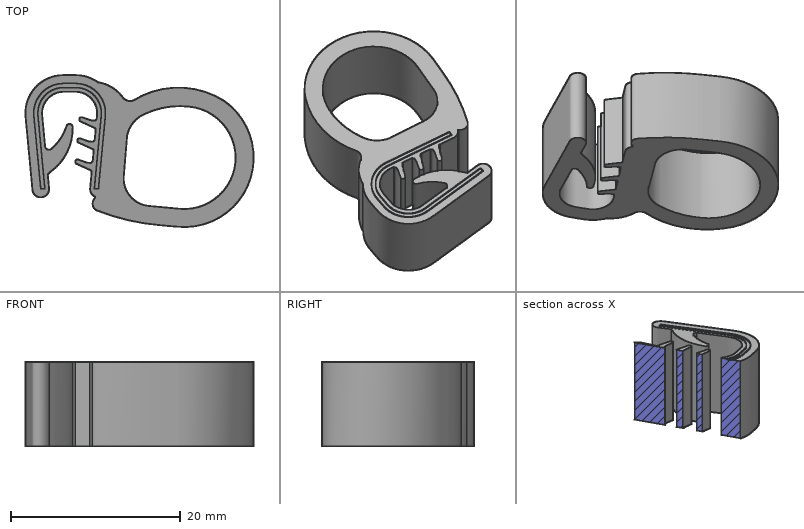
import cadquery as cq
import math

length_x = 27.0
length_z = 10.0

clip_center_x = 5.25
clip_arc_y = 13.47
half_flat = 0.73
leg_lean = 5.4
leg_length = 8.67
clip_outer_radius = 4.5
clip_wall = 2.0
clip_inner_radius = clip_outer_radius - clip_wall

channel_wall_outside = 1.0
channel_width = 0.49
channel_outer_radius = clip_outer_radius - channel_wall_outside
channel_inner_radius = channel_outer_radius - channel_width
channel_depth = 0.1

bulb_radius = 8.2
bulb_wall = 2.15
bulb_x = length_x - bulb_radius
bulb_y = bulb_radius
bulb_arc_end = 55.0
hole_arc_end = 84.0

fin_count = 3
fin_pitch = 2.5

lean = math.radians(leg_lean)


def leg_top(radius, side):
    """Point where a bridge arc meets a leg; side is -1 for left, 1 for right."""
    x = clip_center_x + side * (half_flat + radius * math.cos(lean))
    return x, clip_arc_y - radius * math.sin(lean)


def leg_end(radius, side):
    x, y = leg_top(radius, side)
    return x - side * leg_length * math.sin(lean), y - leg_length * math.cos(lean)


def bridge_end(radius, side):
    return clip_center_x + side * half_flat, clip_arc_y + radius


def bridge_mid(radius, side):
    """Middle of the arc between leg and bridge."""
    angle = math.radians((90 - leg_lean) / 2)
    x = clip_center_x + side * (half_flat + radius * math.cos(angle))
    return x, clip_arc_y + radius * math.sin(angle)


def round_leg_bottom(side):
    """Tip of the rounded end of a leg."""
    x, y = leg_end(clip_outer_radius - clip_wall / 2, side)
    return x - side * clip_wall / 2 * math.sin(lean), y - clip_wall / 2 * math.cos(lean)


def clip_band(outer_radius, inner_radius, rounded):
    """Closed U outline between two radii, with round or square leg ends."""
    band = cq.Workplane("XY").moveTo(*leg_end(outer_radius, -1))
    for radius, side in ((outer_radius, -1), (inner_radius, 1)):
        band = (
            band.lineTo(*leg_top(radius, side))
            .threePointArc(bridge_mid(radius, side), bridge_end(radius, side))
            .lineTo(*bridge_end(radius, -side))
            .threePointArc(bridge_mid(radius, -side), leg_top(radius, -side))
            .lineTo(*leg_end(radius, -side))
        )
        next_radius = inner_radius if side < 0 else outer_radius
        if rounded:
            band = band.threePointArc(round_leg_bottom(-side), leg_end(next_radius, -side))
        else:
            band = band.lineTo(*leg_end(next_radius, -side))
    return band.close()


def on_bulb(radius, degrees):
    angle = math.radians(degrees)
    return bulb_x + radius * math.cos(angle), bulb_y + radius * math.sin(angle)


def bulb_body():
    """Web and bulb, starting from the middle of the right leg."""
    bottom_tangent = -90 - leg_lean
    return (
        cq.Workplane("XY")
        .moveTo(*leg_end(channel_outer_radius, 1))
        .lineTo(8.24, 3.45)
        .threePointArc((7.96, 2.6), (8.45, 1.97))
        .threePointArc((12.28, 0.78), (15.98, 0.22))
        .lineTo(*on_bulb(bulb_radius, bottom_tangent))
        .threePointArc(on_bulb(bulb_radius, 0), on_bulb(bulb_radius, bulb_arc_end))
        .threePointArc((17.65, 16.5), (12.77, 14.98))
        .threePointArc((12.23, 14.93), (11.48, 15.42))
        .threePointArc((10.25, 16.52), (8.65, 17.15))
        .lineTo(*leg_top(channel_outer_radius, 1))
        .close()
        .extrude(length_z)
    )


def bulb_hole():
    hole_radius = bulb_radius - bulb_wall
    return (
        cq.Workplane("XY")
        .moveTo(12.05, 10.77)
        .lineTo(11.65, 5.83)
        .threePointArc((12.42, 3.65), (14.75, 2.5))
        .lineTo(*on_bulb(hole_radius, -90 - leg_lean))
        .threePointArc(on_bulb(hole_radius, 0), on_bulb(hole_radius, hole_arc_end))
        .threePointArc((16.06, 14.05), (14.07, 13.35))
        .threePointArc((12.7, 12.25), (12.05, 10.77))
        .close()
        .extrude(length_z)
    )


def barb():
    """Curved tongue on the inside of the left leg."""
    return (
        cq.Workplane("XY")
        .moveTo(2.32, 9.6)
        .threePointArc((2.6, 9.2), (3.05, 9.23))
        .threePointArc((4.1, 10.4), (4.83, 11.85))
        .threePointArc((5.3, 12.2), (5.62, 11.8))
        .threePointArc((5.25, 9.5), (3.05, 6.6))
        .lineTo(2.65, 6.2)
        .lineTo(*leg_end(channel_inner_radius, -1))
        .lineTo(*leg_top(channel_inner_radius, -1))
        .close()
        .extrude(length_z)
    )


def fin():
    """Uppermost fin, rooted inside the right leg."""
    root_x = 8.53
    return (
        cq.Workplane("XY")
        .moveTo(root_x, 11.48)
        .lineTo(8.3, 11.48)
        .threePointArc((8.25, 11.66), (8.13, 11.75))
        .lineTo(6.48, 12.5)
        .threePointArc((6.37, 12.77), (6.67, 13.01))
        .lineTo(7.78, 12.64)
        .lineTo(8.2, 12.6)
        .threePointArc((8.32, 12.65), (8.37, 12.77))
        .lineTo(root_x, 12.77)
        .close()
        .extrude(length_z)
    )


clip = clip_band(clip_outer_radius, clip_inner_radius, rounded=True).extrude(length_z)
result = clip.union(bulb_body()).cut(bulb_hole()).union(barb())

for index in range(fin_count):
    step = index * fin_pitch
    result = result.union(fin().translate((-step * math.sin(lean), -step * math.cos(lean), 0)))

channel = clip_band(channel_outer_radius, channel_inner_radius, rounded=False).extrude(channel_depth)
result = result.cut(channel.translate((0, 0, length_z - channel_depth)))